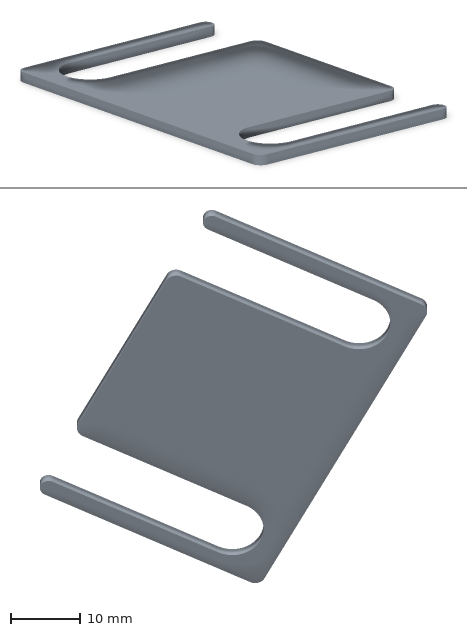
import cadquery as cq

length = 54.0
depth = 36.0
thickness = 1.55
corner_radius = 1.5

arm_width = 2.5
slot_width = 9.0
slot_floor = 3.5

slot_radius = slot_width / 2
slot_center_x = length / 2 - arm_width - slot_radius
slot_arc_y = slot_floor + slot_radius
tongue_half_width = slot_center_x - slot_radius
arm_center_x = (length - arm_width) / 2
arm_tip_radius = arm_width / 2
arm_arc_y = depth - arm_tip_radius


def slot_cutter(side):
    """Slot volume with a round inner end, open at the back edge."""
    inner_x = side * tongue_half_width
    outer_x = side * (slot_center_x + slot_radius)
    return (
        cq.Workplane("XY")
        .moveTo(inner_x, depth)
        .lineTo(inner_x, slot_arc_y)
        .threePointArc((side * slot_center_x, slot_floor), (outer_x, slot_arc_y))
        .lineTo(outer_x, depth)
        .close()
        .extrude(thickness)
    )


def arm_tip(side):
    """Fully rounded end of one side arm."""
    return (
        cq.Workplane("XY")
        .center(side * arm_center_x, arm_arc_y)
        .circle(arm_tip_radius)
        .extrude(thickness)
    )


def tip_trim(side):
    """Square end of one side arm, removed before the round tip is added."""
    return (
        cq.Workplane("XY")
        .center(side * arm_center_x, depth - arm_tip_radius / 2)
        .rect(arm_width, arm_tip_radius)
        .extrude(thickness)
    )


result = (
    cq.Workplane("XY")
    .rect(length, depth)
    .extrude(thickness)
    .translate((0, depth / 2, 0))
    .edges("|Z and <Y")
    .fillet(corner_radius)
)

for side in (-1, 1):
    result = result.cut(slot_cutter(side))
    result = result.cut(tip_trim(side)).union(arm_tip(side))

margin = 0.55
tongue_corners = cq.selectors.BoxSelector(
    (-tongue_half_width - margin, depth - margin, -margin),
    (tongue_half_width + margin, depth + margin, thickness + margin),
)
result = result.edges("|Z").edges(tongue_corners).fillet(corner_radius)